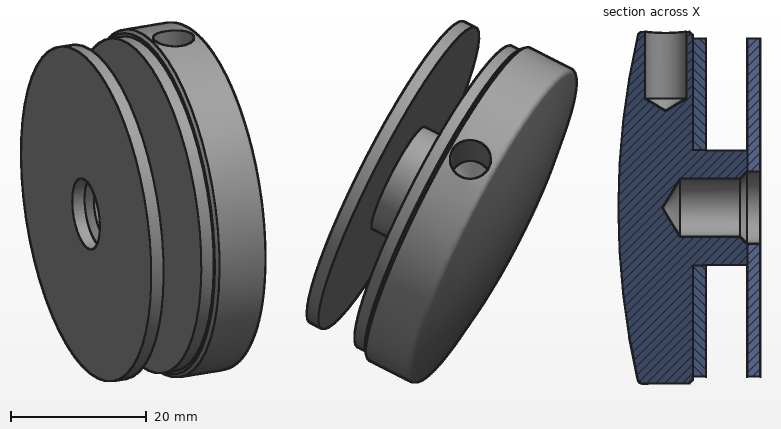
import cadquery as cq
import math


disc_diameter = 50.0
plate_thickness = 2.0
ring_thickness = 2.0
gap_width = 6.05

cap_diameter = 52.0
cap_wall_width = 8.0
dome_height = 3.0
rim_fillet = 0.85
rim_chamfer = 0.5
stem_diameter = 17.0

bore_diameter = 10.6
stem_hole_diameter = 8.55
stem_hole_depth = 9.9

rim_hole_diameter = 6.05
rim_hole_depth = 9.9

drill_point_angle = 118.0

stem_end_y = plate_thickness
ring_y = stem_end_y + gap_width
cap_face_y = ring_y + ring_thickness
dome_edge_y = cap_face_y + cap_wall_width
dome_top_y = dome_edge_y + dome_height
rim_hole_y = cap_face_y + cap_wall_width / 2


def drill_point_length(diameter):
    """Length of the conical end that a drill of this diameter leaves."""
    return diameter / 2 / math.tan(math.radians(drill_point_angle / 2))


def turn(profile):
    """Revolve a closed (Y, radius) half profile around the Y axis."""
    return profile.close().revolve(360, (0, 0, 0), (1, 0, 0))


def make_disc(start_y, thickness, hole_diameter):
    """Flat round disc with a central through hole."""
    outer = disc_diameter / 2
    inner = hole_diameter / 2
    end_y = start_y + thickness
    return turn(
        cq.Workplane("YZ")
        .moveTo(start_y, inner)
        .lineTo(start_y, outer)
        .lineTo(end_y, outer)
        .lineTo(end_y, inner)
    )


def make_domed_body():
    """Solid stem and domed cap, with the rim rounded behind and chamfered in front."""
    cap_radius = cap_diameter / 2
    stem_radius = stem_diameter / 2
    dome_radius = (cap_radius**2 + dome_height**2) / (2 * dome_height)
    half_angle = math.asin(cap_radius / dome_radius) / 2
    dome_mid = (
        dome_top_y - dome_radius * (1 - math.cos(half_angle)),
        dome_radius * math.sin(half_angle),
    )
    body = turn(
        cq.Workplane("YZ")
        .moveTo(stem_end_y, 0)
        .lineTo(stem_end_y, stem_radius)
        .lineTo(cap_face_y, stem_radius)
        .lineTo(cap_face_y, cap_radius - rim_chamfer)
        .lineTo(cap_face_y + rim_chamfer, cap_radius)
        .lineTo(dome_edge_y, cap_radius)
        .threePointArc(dome_mid, (dome_top_y, 0))
    )
    rim = cq.selectors.BoxSelector(
        (-cap_diameter, dome_edge_y - rim_fillet, -cap_diameter),
        (cap_diameter, dome_edge_y + rim_fillet, cap_diameter),
        boundingbox=True,
    )
    return body.edges(rim).fillet(rim_fillet)


def make_stem_hole():
    """Threaded-hole core with a 45 degree lead-in and a drill point."""
    radius = stem_hole_diameter / 2
    lead_in = bore_diameter / 2 - radius
    bottom_y = stem_end_y + stem_hole_depth
    return turn(
        cq.Workplane("YZ")
        .moveTo(stem_end_y, 0)
        .lineTo(stem_end_y, bore_diameter / 2)
        .lineTo(stem_end_y + lead_in, radius)
        .lineTo(bottom_y, radius)
        .lineTo(bottom_y + drill_point_length(stem_hole_diameter), 0)
    )


def make_rim_hole():
    """Radial hole with a drill point, entering from the +Z side of the rim."""
    radius = rim_hole_diameter / 2
    mouth_z = cap_diameter / 2
    bottom_z = mouth_z - rim_hole_depth
    return (
        cq.Workplane("XZ", origin=(0, rim_hole_y, 0))
        .moveTo(0, mouth_z)
        .lineTo(radius, mouth_z)
        .lineTo(radius, bottom_z)
        .lineTo(0, bottom_z - drill_point_length(rim_hole_diameter))
        .close()
        .revolve(360, (0, 0, 0), (0, 1, 0))
    )


def make_cap():
    """Domed cap and stem with both blind holes."""
    return make_domed_body().cut(make_stem_hole()).cut(make_rim_hole())


clamp_plate = make_disc(0, plate_thickness, bore_diameter)
seal_ring = make_disc(ring_y, ring_thickness, stem_diameter)
cap = make_cap()

result = cq.Compound.makeCompound([clamp_plate.val(), seal_ring.val(), cap.val()])